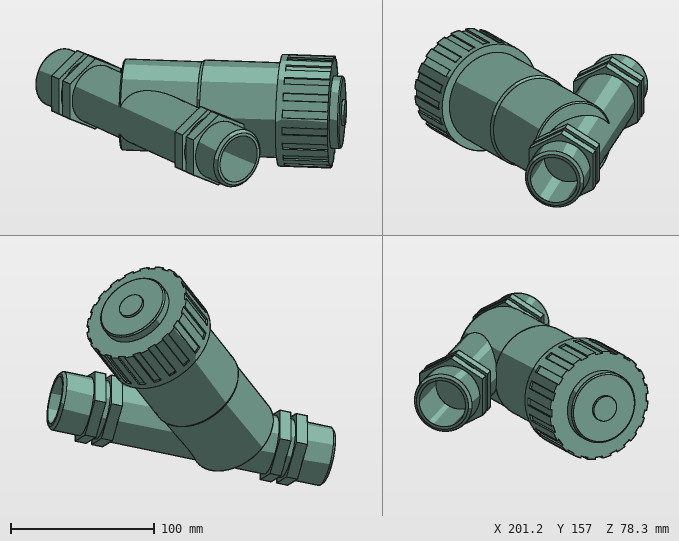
import cadquery as cq
import math


pipe_length = 199.6
pipe_diameter = 41.9
pipe_chamfer = 2.0
inlet_length = 67.2
bore_diameter = 33.6

nut_across_flats = 45.9
nut_width = 8.0
nut_gap = 4.0
nut_inset = 22.0

branch_angle = 45.0
lower_diameter = 63.8
upper_diameter = 66.5
branch_start = 3.5
shoulder_start = 58.0
shoulder_length = 2.0
branch_chamfer = 1.0

cap_diameter = 78.3
cap_start = 114.1
cap_end = 150.5
groove_count = 20
groove_width = 5.5
groove_depth = 1.5
rim_height = 4.6
groove_start = cap_start + rim_height

button_diameter = 50.7
button_end = 157.4
button_chamfer = 1.0
disc_diameter = 18.1
disc_end = 159.4

pipe_left = -inlet_length
pipe_right = pipe_left + pipe_length
nut_pair_width = 2 * nut_width + nut_gap
bore_depth = nut_inset + nut_pair_width


def x_plane(x):
    return cq.Workplane("YZ", origin=(x, 0, 0))


def make_pipe():
    pipe = x_plane(pipe_left).circle(pipe_diameter / 2).extrude(pipe_length)
    return pipe.faces("<X or >X").chamfer(pipe_chamfer)


def make_nut(x):
    """Hexagonal nut starting at x, with flats facing +Y and -Y."""
    across_corners = nut_across_flats / math.cos(math.pi / 6)
    hexagon = x_plane(x).transformed(rotate=(0, 0, 90)).polygon(6, across_corners)
    return hexagon.extrude(nut_width)


def make_bore(x):
    """Blind bore running in the +X direction from x."""
    return x_plane(x).circle(bore_diameter / 2).extrude(bore_depth)


def make_disc(diameter, start, end):
    """Cylinder on the X axis, between two distances from the origin."""
    return x_plane(start).circle(diameter / 2).extrude(end - start)


def make_branch_body():
    lower_radius = lower_diameter / 2
    upper_radius = upper_diameter / 2
    half_outline = [
        (branch_start, 0),
        (branch_start, lower_radius - branch_chamfer),
        (branch_start + branch_chamfer, lower_radius),
        (shoulder_start, lower_radius),
        (shoulder_start + shoulder_length, upper_radius),
        (cap_start, upper_radius),
        (cap_start, 0),
    ]
    return cq.Workplane("XY").polyline(half_outline).close().revolve(360, (0, 0, 0), (1, 0, 0))


def make_cap():
    cap = make_disc(cap_diameter, cap_start, cap_end)
    groove = cq.Workplane("XY").box(
        cap_end - groove_start, groove_width, 2 * groove_depth, centered=(False, True, True)
    ).translate((groove_start, 0, cap_diameter / 2))
    for i in range(groove_count):
        cap = cap.cut(groove.rotate((0, 0, 0), (1, 0, 0), i * 360 / groove_count))
    return cap


def make_branch():
    """Branch and cap, modelled along X and then swung to the branch angle."""
    button = make_disc(button_diameter, cap_end, button_end).faces(">X").chamfer(button_chamfer)
    disc = make_disc(disc_diameter, button_end, disc_end)
    branch = make_branch_body().union(make_cap()).union(button).union(disc)
    return branch.rotate((0, 0, 0), (0, 0, 1), branch_angle)


result = make_pipe().union(make_branch())

for pair_start in (pipe_left + nut_inset, pipe_right - nut_inset - nut_pair_width):
    for nut_start in (pair_start, pair_start + nut_width + nut_gap):
        result = result.union(make_nut(nut_start))

for bore_start in (pipe_left, pipe_right - bore_depth):
    result = result.cut(make_bore(bore_start))